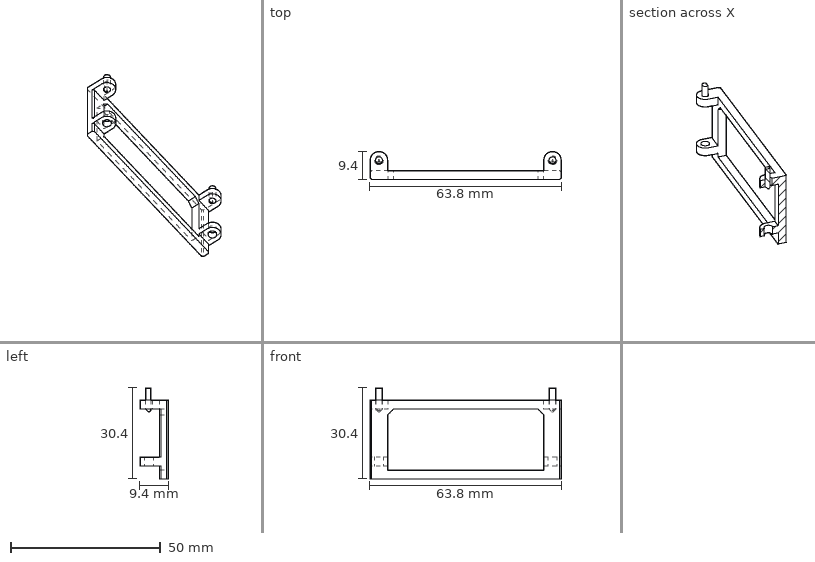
import cadquery as cq

WIDTH = 63.8
TOTAL_HEIGHT = 30.4
PIN_RISE = 4.0
HEIGHT = TOTAL_HEIGHT - PIN_RISE
BAR = 3.0
END_CHAMFER = 0.5

DEPTH = 9.4
LUG_WIDTH = 5.9
LUG_RADIUS = LUG_WIDTH / 2
AXIS_X = WIDTH / 2 - LUG_RADIUS
AXIS_Y = DEPTH - LUG_RADIUS
UPPER_LUG_Z = HEIGHT - BAR
LUG_SPACING = 19.0
LOWER_LUG_Z = UPPER_LUG_Z - LUG_SPACING
LOWER_HOLE_DIAMETER = 2.9

WINDOW_WIDTH = WIDTH - 2 * LUG_WIDTH
WINDOW_HEIGHT = HEIGHT - 2 * BAR
WINDOW_CHAMFER = 1.9

PIN_DIAMETER = 2.3
PIN_FLAT_OFFSET = 0.65
PIN_TIP = 0.95
PIN_BOTTOM_Z = UPPER_LUG_Z - PIN_TIP

SIDES = (-1, 1)


def make_frame_plate():
    """Upright rectangular plate with bevelled ends and a window."""
    plate = cq.Workplane("XY").box(WIDTH, BAR, HEIGHT, centered=(True, False, False))
    plate = plate.edges("|Z").chamfer(END_CHAMFER)
    window = (
        cq.Workplane("XY")
        .box(WINDOW_WIDTH, BAR, WINDOW_HEIGHT, centered=(True, False, False))
        .edges("|Y and >Z")
        .chamfer(WINDOW_CHAMFER)
        .translate((0, 0, BAR))
    )
    return plate.cut(window)


def make_lug(side, bottom_z, hole_diameter):
    """Round-ended lug with a vertical hole, starting inside the frame plate."""
    root_y = BAR / 2
    return (
        cq.Workplane("XY", origin=(side * AXIS_X, 0, bottom_z))
        .moveTo(-LUG_RADIUS, root_y)
        .lineTo(LUG_RADIUS, root_y)
        .lineTo(LUG_RADIUS, AXIS_Y)
        .threePointArc((0, DEPTH), (-LUG_RADIUS, AXIS_Y))
        .close()
        .moveTo(0, AXIS_Y)
        .circle(hole_diameter / 2)
        .extrude(BAR)
    )


def make_frame():
    """Frame plate joined to its four lugs."""
    frame = make_frame_plate()
    for side in SIDES:
        frame = frame.union(make_lug(side, UPPER_LUG_Z, PIN_DIAMETER))
        frame = frame.union(make_lug(side, LOWER_LUG_Z, LOWER_HOLE_DIAMETER))
    return frame


def make_pin(side):
    """D-shaped pin that fills the round part of the upper hole, with a conical tip."""
    length = TOTAL_HEIGHT - PIN_BOTTOM_Z
    pin = cq.Workplane("XY").circle(PIN_DIAMETER / 2).extrude(length)
    pin = pin.faces("<Z").chamfer(PIN_TIP)
    flat_cutter = (
        cq.Workplane("XY")
        .box(PIN_DIAMETER, PIN_DIAMETER, length, centered=(True, False, False))
        .translate((0, -PIN_FLAT_OFFSET - PIN_DIAMETER, 0))
    )
    return pin.cut(flat_cutter).translate((side * AXIS_X, AXIS_Y, PIN_BOTTOM_Z))


frame = make_frame()
pins = [make_pin(side) for side in SIDES]

result = cq.Compound.makeCompound([frame.val(), *[pin.val() for pin in pins]])